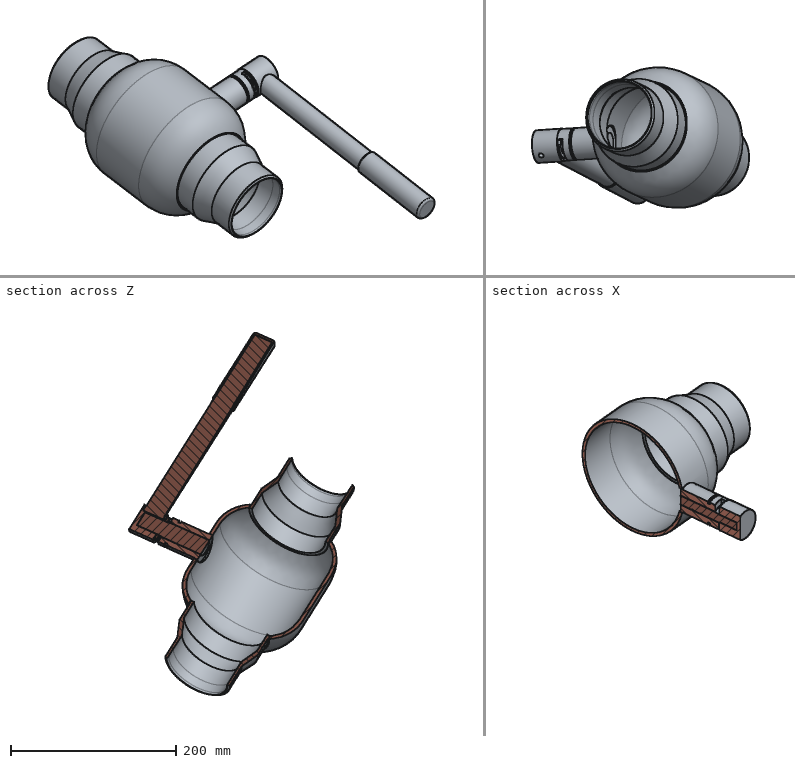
import cadquery as cq
import math


housing_radius = 79.5
housing_straight_half = 37.5
housing_half_length = 80.0
dome_corner_radius = 50.0
housing_wall = 5.0

valve_half_length = 162.5
pipe_radius = 44.45
pipe_straight_end = 130.0
shoulder_start = 106.5
shoulder_radius = 54.0
end_chamfer_length = 2.0
end_chamfer_depth = 2.5
bore_radius = 40.3
pipe_bore_radius = 40.7
pipe_bore_depth = 15.5
mouth_radius = 41.2
mouth_depth = 3.5
end_wall = 4.0
cone_offset = 5.5
end_insertion = 5.0

neck_radius = 19.5
neck_bottom = housing_radius - housing_wall
neck_top = 136.0
neck_groove_radius = 16.9
neck_groove_bottom = 117.5
neck_groove_width = 3.0
stop_notch_depth = 7.0
stop_start_angle = -11.0
stop_notch_angle = 110.0
stop_tab_angle = 20.0
stop_tab_height = 4.0
stop_plate_radius = 17.0
stop_plate_thickness = 1.4
stop_count = 2
cutter_margin = 1.0

stem_radius = 11.0
stem_top = 163.0

head_radius = 20.0
head_top = 168.5
head_middle = (head_top + neck_top) / 2
pin_hole_diameter = 6.0
pin_hole_y = head_top - 10.0
pin_hole_angle = 225.0

lever_tilt = 1.0
rod_radius = 13.45
rod_start = 12.0
grip_radius = 15.0
grip_start = 195.0
grip_length = 106.0
grip_end = grip_start + grip_length
grip_end_fillet = 3.0
grip_end_wall = 3.0


def cylinder_y(radius, bottom, top):
    """Cylinder around the stem axis, between two heights along Y."""
    return cq.Workplane("XZ", origin=(0, bottom, 0)).circle(radius).extrude(bottom - top)


def sector_y(radius, bottom, top, start_angle, sweep):
    """Pie-shaped block around the stem axis; angles run from +X towards +Z."""
    def rim(angle):
        turn = math.radians(angle)
        return radius * math.cos(turn), radius * math.sin(turn)

    return (
        cq.Workplane("XZ", origin=(0, bottom, 0))
        .lineTo(*rim(start_angle))
        .threePointArc(rim(start_angle + sweep / 2), rim(start_angle + sweep))
        .close()
        .extrude(bottom - top)
    )


def cylinder_lever(radius, start, end):
    """Cylinder along the tilted lever axis, between two distances from the stem axis."""
    return (
        cq.Workplane("YZ", origin=(start, head_middle, 0))
        .circle(radius)
        .extrude(end - start)
        .rotate((0, 0, 0), (0, 1, 0), lever_tilt)
    )


def dome_barrel(offset):
    """Solid of revolution of the housing, shrunk inwards by an offset."""
    radius = housing_radius - offset
    corner = dome_corner_radius - offset
    half = housing_half_length - offset
    reach = half - housing_straight_half
    centre_radius = radius - corner
    edge = centre_radius + math.sqrt(corner**2 - reach**2)
    middle_angle = (math.pi / 2 + math.asin((edge - centre_radius) / corner)) / 2
    middle_x = housing_straight_half + corner * math.cos(middle_angle)
    middle_radius = centre_radius + corner * math.sin(middle_angle)
    return (
        cq.Workplane("XY")
        .moveTo(-half, 0)
        .lineTo(-half, edge)
        .threePointArc((-middle_x, middle_radius), (-housing_straight_half, radius))
        .lineTo(housing_straight_half, radius)
        .threePointArc((middle_x, middle_radius), (half, edge))
        .lineTo(half, 0)
        .close()
        .revolve(360, (0, 0, 0), (1, 0, 0))
    )


def make_housing():
    shell = dome_barrel(0).cut(dome_barrel(housing_wall))
    openings = cq.Workplane("YZ").circle(shoulder_radius).extrude(housing_half_length, both=True)
    neck_hole = cylinder_y(neck_radius, 0, housing_radius)
    return shell.cut(openings).cut(neck_hole)


def make_welding_end():
    inner_end = housing_half_length - end_insertion
    cavity_radius = shoulder_radius - end_wall
    return (
        cq.Workplane("XY")
        .polyline([
            (-valve_half_length, mouth_radius),
            (-valve_half_length, pipe_radius - end_chamfer_depth),
            (-valve_half_length + end_chamfer_length, pipe_radius),
            (-pipe_straight_end, pipe_radius),
            (-shoulder_start, shoulder_radius),
            (-inner_end, shoulder_radius),
            (-inner_end, cavity_radius),
            (-shoulder_start + cone_offset, cavity_radius),
            (-pipe_straight_end + cone_offset, bore_radius),
            (-valve_half_length + pipe_bore_depth, pipe_bore_radius),
            (-valve_half_length + mouth_depth, pipe_bore_radius),
        ])
        .close()
        .revolve(360, (0, 0, 0), (1, 0, 0))
    )


def stop_sectors(radius, depth, sweep):
    """Equally spaced sectors that hang down from the top of the neck."""
    bottom = neck_top - depth
    sectors = cq.Workplane("XZ")
    for index in range(stop_count):
        start_angle = stop_start_angle + index * 360 / stop_count
        sectors = sectors.add(sector_y(radius, bottom, neck_top, start_angle, sweep))
    return sectors.combine()


def make_neck():
    outer_radius = neck_radius + cutter_margin
    groove_top = neck_groove_bottom + neck_groove_width
    groove = cylinder_y(outer_radius, neck_groove_bottom, groove_top)
    groove = groove.cut(cylinder_y(neck_groove_radius, neck_groove_bottom, groove_top))
    plate_recess = cylinder_y(stop_plate_radius, neck_top - stop_plate_thickness, neck_top)
    return (
        cylinder_y(neck_radius, neck_bottom, neck_top)
        .cut(groove)
        .cut(cylinder_y(stem_radius, neck_bottom, neck_top))
        .cut(plate_recess)
        .cut(stop_sectors(outer_radius, stop_notch_depth, stop_notch_angle))
    )


def make_stem():
    return cylinder_y(stem_radius, neck_bottom, stem_top)


def make_stop_plate():
    disc = cylinder_y(stop_plate_radius, neck_top - stop_plate_thickness, neck_top)
    tabs = stop_sectors(stop_plate_radius, stop_tab_height, stop_tab_angle)
    return disc.union(tabs).cut(cylinder_y(stem_radius, neck_bottom, neck_top))


def make_head():
    head = cylinder_y(head_radius, neck_top, head_top)
    head = head.cut(cylinder_y(stem_radius, neck_top, stem_top))
    head = head.cut(cylinder_lever(rod_radius, rod_start, 2 * head_radius))
    pin_hole = (
        cq.Workplane("YZ", origin=(stem_radius, pin_hole_y, 0))
        .circle(pin_hole_diameter / 2)
        .extrude(head_radius)
        .rotate((0, 0, 0), (0, 1, 0), -pin_hole_angle)
    )
    return head.cut(pin_hole)


def make_rod():
    return cylinder_lever(rod_radius, rod_start, grip_end - grip_end_wall)


def make_grip():
    grip = cylinder_lever(grip_radius, grip_start, grip_end)
    grip = grip.faces(">X").edges().fillet(grip_end_fillet)
    return grip.cut(make_rod())


housing = make_housing()
left_end = make_welding_end()
right_end = left_end.mirror("YZ")
neck = make_neck()
stem = make_stem()
stop_plate = make_stop_plate()
head = make_head()
rod = make_rod()
grip = make_grip()

bodies = [housing, left_end, right_end, neck, stem, stop_plate, head, rod, grip]
result = cq.Compound.makeCompound([body.solids().val() for body in bodies])